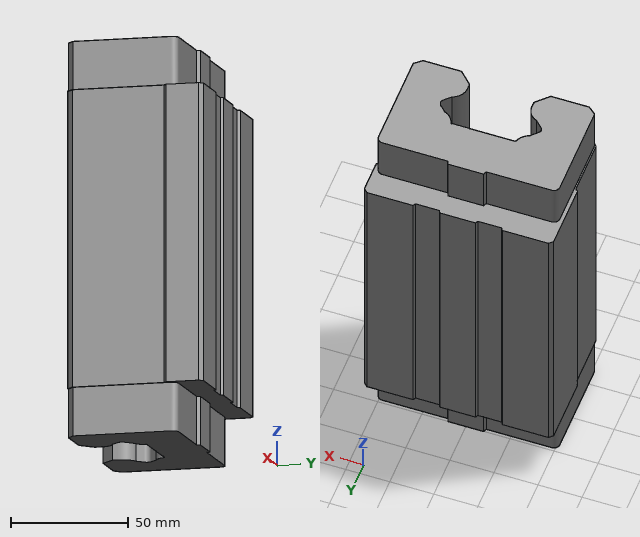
import cadquery as cq
import math

LENGTH = 171.5
BLOCK_LENGTH = 129.3
HEIGHT = 60.5
BLOCK_HALF_WIDTH = 86.0 / 2

TOP_CHAMFER = 1.7
SKIRT_HALF_WIDTH = 41.8
FOOT_CHAMFER = 3.0
LEDGE_CHAMFER = BLOCK_HALF_WIDTH - SKIRT_HALF_WIDTH
LEFT_LEDGE_HEIGHT = 28.1
RIGHT_LEDGE_HEIGHT = 43.2
GROOVE_DEPTH = 1.2
GROOVE_INNER = 8.0
GROOVE_OUTER = 20.2
GROOVE_SLOPE = 0.7

CAP_HALF_WIDTH = 41.2
CAP_HEIGHT = 48.9
CAP_FOOT_WIDTH = 3.5
CAP_SHOULDER_ROUND = 2.7
CAP_RIDGE_HEIGHT = 1.5
CAP_RIDGE_HALF_WIDTH = 8.0
CAP_RIDGE_SLOPE = 0.7

ROOF_HEIGHT = 28.6
ROOF_CHAMFER = 0.5
VALLEY_HEIGHT = 19.2
VALLEY_ROUND = 2.0
VALLEY_HALF_WIDTH = 22.8
LOBE_START_HALF_WIDTH = 19.2
THROAT_HALF_WIDTH = 14.5
LOBE_RADIUS = 6.9
MOUTH_HALF_WIDTH = 20.2
BEVEL_HEIGHT = 5.7


def mirrored(points):
    """Close a right-hand half outline with its mirror image in the YZ plane."""
    return points + [(-x, y) for x, y in reversed(points)]


def prism(points, length):
    """Extrude a closed outline along Z, centred on the middle of the part."""
    return cq.Workplane("XY").polyline(points).close().extrude(length / 2, both=True)


def block():
    """Middle block, with a higher ledge on its +X side than on its -X side."""

    def side(ledge_height):
        return [
            (SKIRT_HALF_WIDTH - FOOT_CHAMFER, 0),
            (SKIRT_HALF_WIDTH, FOOT_CHAMFER),
            (SKIRT_HALF_WIDTH, ledge_height),
            (BLOCK_HALF_WIDTH, ledge_height + LEDGE_CHAMFER),
            (BLOCK_HALF_WIDTH, HEIGHT - TOP_CHAMFER),
            (BLOCK_HALF_WIDTH - TOP_CHAMFER, HEIGHT),
            (GROOVE_OUTER, HEIGHT),
            (GROOVE_OUTER - GROOVE_SLOPE, HEIGHT - GROOVE_DEPTH),
            (GROOVE_INNER + GROOVE_SLOPE, HEIGHT - GROOVE_DEPTH),
            (GROOVE_INNER, HEIGHT),
        ]

    left = [(-x, y) for x, y in side(LEFT_LEDGE_HEIGHT)]
    return prism(side(RIGHT_LEDGE_HEIGHT) + left[::-1], BLOCK_LENGTH)


def caps():
    """End cap profile over the full length; the block covers its middle."""
    half = [
        (CAP_HALF_WIDTH - CAP_FOOT_WIDTH, 0),
        (CAP_HALF_WIDTH, FOOT_CHAMFER),
        (CAP_HALF_WIDTH, CAP_HEIGHT),
        (CAP_RIDGE_HALF_WIDTH + CAP_RIDGE_SLOPE, CAP_HEIGHT),
        (CAP_RIDGE_HALF_WIDTH, CAP_HEIGHT + CAP_RIDGE_HEIGHT),
    ]
    body = prism(mirrored(half), LENGTH)
    for side in (-1, 1):
        shoulder = cq.selectors.NearestToPointSelector((side * CAP_HALF_WIDTH, CAP_HEIGHT, 0))
        body = body.edges("|Z").edges(shoulder).fillet(CAP_SHOULDER_ROUND)
    return body


def rail_opening():
    """Cutter for the rail: on each side a rounded 45 degree valley between two round lobes."""
    round_centre = VALLEY_HALF_WIDTH - VALLEY_ROUND
    round_tangent = VALLEY_ROUND / math.sqrt(2)
    sharp_valley = round_centre + VALLEY_ROUND * math.sqrt(2)
    flank_height = sharp_valley - LOBE_START_HALF_WIDTH
    lobe_centre = THROAT_HALF_WIDTH + LOBE_RADIUS
    lobe_inset = lobe_centre - LOBE_START_HALF_WIDTH
    lobe_offset = flank_height + math.sqrt(LOBE_RADIUS**2 - lobe_inset**2)

    def lobe_point(height, centre_height):
        """Point on the inner side of a lobe at the given height."""
        reach = math.sqrt(LOBE_RADIUS**2 - (height - centre_height) ** 2)
        return lobe_centre - reach, height

    lower_centre = VALLEY_HEIGHT - lobe_offset
    lower_end = VALLEY_HEIGHT - flank_height
    upper_centre = VALLEY_HEIGHT + lobe_offset
    upper_start = VALLEY_HEIGHT + flank_height
    upper_end = ROOF_HEIGHT - ROOF_CHAMFER
    roof_corner = lobe_point(upper_end, upper_centre)

    half = (
        cq.Workplane("XY")
        .moveTo(0, 0)
        .lineTo(MOUTH_HALF_WIDTH, 0)
        .lineTo(THROAT_HALF_WIDTH, BEVEL_HEIGHT)
        .lineTo(THROAT_HALF_WIDTH, lower_centre)
        .threePointArc(
            lobe_point((lower_centre + lower_end) / 2, lower_centre),
            (LOBE_START_HALF_WIDTH, lower_end),
        )
        .lineTo(round_centre + round_tangent, VALLEY_HEIGHT - round_tangent)
        .threePointArc(
            (VALLEY_HALF_WIDTH, VALLEY_HEIGHT),
            (round_centre + round_tangent, VALLEY_HEIGHT + round_tangent),
        )
        .lineTo(LOBE_START_HALF_WIDTH, upper_start)
        .threePointArc(lobe_point((upper_start + upper_end) / 2, upper_centre), roof_corner)
        .lineTo(roof_corner[0] - ROOF_CHAMFER, ROOF_HEIGHT)
        .lineTo(0, ROOF_HEIGHT)
        .close()
        .extrude(LENGTH / 2, both=True)
    )
    return half.union(half.mirror("YZ"))


result = caps().union(block()).cut(rail_opening())